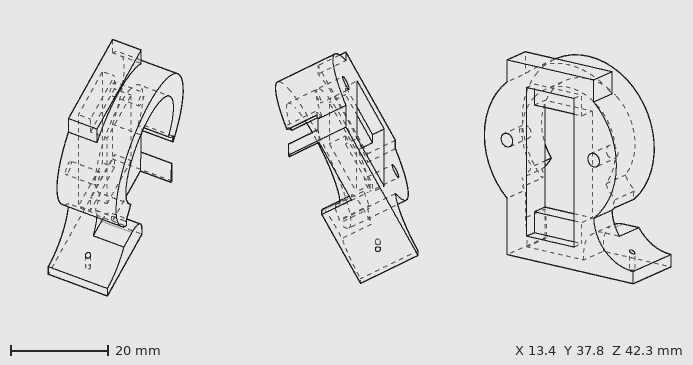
import cadquery as cq
import math

depth = 13.35
plate_depth = 6.45
height = 42.25
half_width = 11.0

axis_z = 24.85
outer_radius = 16.75
inner_radius = 11.85

window_width = 11.95
window_height = 32.25
opening_height = 23.15
window_z = height / 2
ledge_start = 2.7

screw_diameter = 2.9
pilot_diameter = 1.05
pilot_offset = 5.05

flank_radius = 10.0
foot_tip_y = -half_width - flank_radius
foot_tip_z = 2.7
flank_center_z = foot_tip_z + flank_radius
foot_top_z = 6.95
shoulder_radius = 5.0
shoulder_center_y = -8.8
shoulder_center_z = foot_top_z - shoulder_radius

ring_tip_z = 12.85
ring_tip_y = math.sqrt(outer_radius**2 - (axis_z - ring_tip_z) ** 2)
lip_z = 17.6
lip_y = math.sqrt(inner_radius**2 - (axis_z - lip_z) ** 2)
lip_middle = (10.22, 16.3)
bead_start = (11.85, 14.7)
bead_middle = (11.4, 13.85)

rib_top_z = 6.2
rib_foot_y = 10.55
rib_middle = (10.65, 2.95)


def layer(start):
    """Sketch plane across X, with Y and Z as its local axes."""
    return cq.Workplane("YZ").workplane(offset=start)


def flank_point(z):
    """Point of the concave foot flank at height z."""
    rise = flank_center_z - z
    return (foot_tip_y + math.sqrt(flank_radius**2 - rise**2), z)


def flank_midpoint(z_end):
    """Point halfway in height along the flank, from its tip to z_end."""
    return flank_point((foot_tip_z + z_end) / 2)


def make_plate():
    outline = (
        layer(0)
        .moveTo(half_width, 0)
        .lineTo(foot_tip_y, 0)
        .lineTo(foot_tip_y, foot_tip_z)
        .threePointArc(flank_midpoint(flank_center_z), (-half_width, flank_center_z))
        .lineTo(-half_width, height)
        .lineTo(half_width, height)
        .close()
        .extrude(plate_depth)
    )
    disc = layer(0).center(0, axis_z).circle(outer_radius).extrude(plate_depth)
    window = layer(0).center(0, window_z).rect(window_width, window_height).extrude(ledge_start)
    opening = layer(0).center(0, window_z).rect(window_width, opening_height).extrude(plate_depth)
    screws = (
        layer(0)
        .pushPoints([(-half_width, axis_z), (half_width, axis_z)])
        .circle(screw_diameter / 2)
        .extrude(plate_depth)
    )
    return outline.union(disc).cut(window).cut(opening).cut(screws)


def make_ring():
    return (
        layer(plate_depth)
        .moveTo(lip_y, lip_z)
        .threePointArc(lip_middle, bead_start)
        .threePointArc(bead_middle, (ring_tip_y, ring_tip_z))
        .threePointArc((0, axis_z + outer_radius), (-ring_tip_y, ring_tip_z))
        .threePointArc((-bead_middle[0], bead_middle[1]), (-bead_start[0], bead_start[1]))
        .threePointArc((-lip_middle[0], lip_middle[1]), (-lip_y, lip_z))
        .threePointArc((0, axis_z + inner_radius), (lip_y, lip_z))
        .close()
        .extrude(depth - plate_depth)
    )


def make_foot():
    shoulder_y = shoulder_center_y + shoulder_radius
    diagonal = shoulder_radius * math.sqrt(0.5)
    return (
        layer(plate_depth)
        .moveTo(foot_tip_y, 0)
        .lineTo(foot_tip_y, foot_tip_z)
        .threePointArc(flank_midpoint(foot_top_z), flank_point(foot_top_z))
        .lineTo(shoulder_center_y, foot_top_z)
        .threePointArc(
            (shoulder_center_y + diagonal, shoulder_center_z + diagonal),
            (shoulder_y, shoulder_center_z),
        )
        .lineTo(shoulder_y, 0)
        .close()
        .extrude(depth - plate_depth)
    )


def make_rib():
    return (
        layer(plate_depth)
        .moveTo(half_width, 0)
        .lineTo(half_width, rib_top_z)
        .threePointArc(rib_middle, (rib_foot_y, 0))
        .close()
        .extrude(depth - plate_depth)
    )


def make_pilot_hole():
    return (
        cq.Workplane("XY")
        .center(depth / 2, foot_tip_y + pilot_offset)
        .circle(pilot_diameter / 2)
        .extrude(foot_top_z)
    )


result = make_plate().union(make_ring()).union(make_foot()).union(make_rib()).cut(make_pilot_hole())